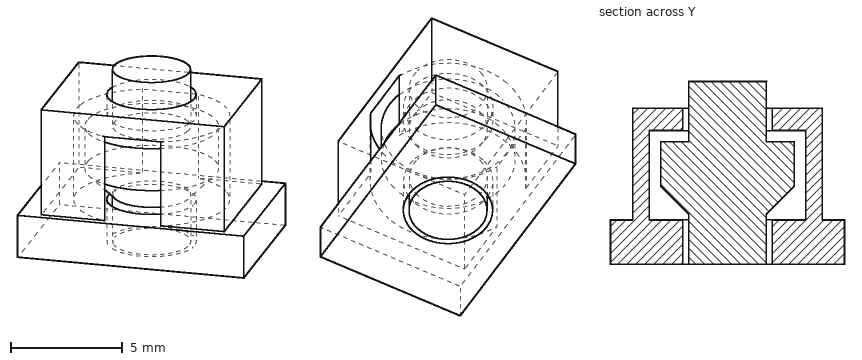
import cadquery as cq

BASE_LENGTH = 10.5
BASE_WIDTH = 7.2
BASE_HEIGHT = 2.0

BLOCK_LENGTH = 8.5
BLOCK_WIDTH = 6.5
CHAMBER_HEIGHT = 4.0
COVER_THICKNESS = 1.0

CHAMBER_DIAMETER = 7.0
GUIDE_HOLE_DIAMETER = 4.0

STEM_DIAMETER = 3.5
STEM_PROTRUSION = 1.2
COLLAR_DIAMETER = 6.0
COLLAR_HEIGHT = 2.0
COLLAR_TOP_CLEARANCE = 0.5

CHAMBER_TOP = BASE_HEIGHT + CHAMBER_HEIGHT
HOUSING_TOP = CHAMBER_TOP + COVER_THICKNESS
PLUNGER_TOP = HOUSING_TOP + STEM_PROTRUSION

STEM_RADIUS = STEM_DIAMETER / 2
COLLAR_RADIUS = COLLAR_DIAMETER / 2
COLLAR_TOP = CHAMBER_TOP - COLLAR_TOP_CLEARANCE
COLLAR_BOTTOM = COLLAR_TOP - COLLAR_HEIGHT
TAPER_BOTTOM = COLLAR_BOTTOM - (COLLAR_RADIUS - STEM_RADIUS)


def box_on(bottom, length, width, height):
    """Box centred on the Z axis, standing on the level `bottom`."""
    return cq.Workplane("XY", origin=(0, 0, bottom)).rect(length, width).extrude(height)


def cylinder_on(bottom, diameter, height):
    """Cylinder around the Z axis, standing on the level `bottom`."""
    return cq.Workplane("XY", origin=(0, 0, bottom)).circle(diameter / 2).extrude(height)


def make_housing():
    """Base, block and cover with the chamber and the guide holes for the stem."""
    base = box_on(0, BASE_LENGTH, BASE_WIDTH, BASE_HEIGHT)
    block = box_on(BASE_HEIGHT, BLOCK_LENGTH, BLOCK_WIDTH, CHAMBER_HEIGHT + COVER_THICKNESS)
    chamber = cylinder_on(BASE_HEIGHT, CHAMBER_DIAMETER, CHAMBER_HEIGHT)
    guide_hole = cylinder_on(0, GUIDE_HOLE_DIAMETER, HOUSING_TOP)
    return base.union(block).cut(chamber).cut(guide_hole)


def make_plunger():
    """Half profile in the XZ plane, revolved around the Z axis."""
    return (
        cq.Workplane("XZ")
        .moveTo(0, 0)
        .lineTo(STEM_RADIUS, 0)
        .lineTo(STEM_RADIUS, TAPER_BOTTOM)
        .lineTo(COLLAR_RADIUS, COLLAR_BOTTOM)
        .lineTo(COLLAR_RADIUS, COLLAR_TOP)
        .lineTo(STEM_RADIUS, COLLAR_TOP)
        .lineTo(STEM_RADIUS, PLUNGER_TOP)
        .lineTo(0, PLUNGER_TOP)
        .close()
        .revolve(360, (0, 0, 0), (0, 1, 0))
    )


housing = make_housing()
plunger = make_plunger()

result = cq.Compound.makeCompound([housing.val(), plunger.val()])